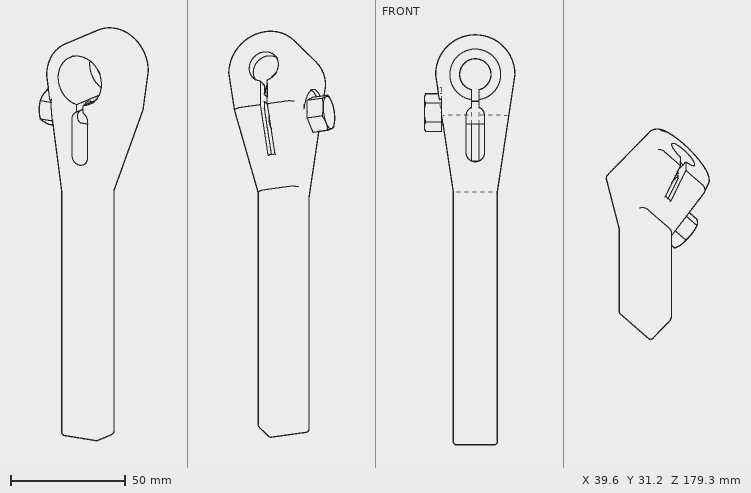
import cadquery as cq
import math

total_length = 179.3
total_depth = 31.2
head_radius = 17.4
handle_half_width = 9.7
handle_depth = 15.2
handle_top = -51.3
handle_bottom = head_radius - total_length
back_slope_top = -17.7
back_fillet = 3.2
front_fillet = 0.7
corner_radius = 1.6

bore_radius = 11.1
small_bore_radius = 6.8
back_wall = 5.0
slit_half_width = 1.6
slot_width = 8.0
slot_top = -14.0
slot_bottom = -38.2

bolt_y = 9.3
bolt_z = -16.7
bolt_radius = 5.0
bolt_tip_x = 10.8
hex_across_flats = 14.3
hex_face_x = -22.2
hex_chamfer_depth = 0.5
spotface_radius = 11.0
spotface_x = -14.7


def front_plane():
    """Sketch plane of the front face, facing -Y, so a negative extrusion runs towards +Y."""
    return cq.Workplane("XZ")


def bolt_axis_plane(x):
    """Sketch plane on the bolt axis, extruding towards +X."""
    return cq.Workplane("YZ", origin=(x, bolt_y, bolt_z))


def slope_profile(back_y, bottom_y):
    """Block whose back is upright, then slopes forward, then is upright again along the handle."""
    return (
        cq.Workplane("YZ")
        .moveTo(0, head_radius)
        .lineTo(back_y, head_radius)
        .lineTo(back_y, back_slope_top)
        .lineTo(bottom_y, handle_top)
        .lineTo(bottom_y, handle_bottom)
        .lineTo(0, handle_bottom)
        .close()
        .extrude(head_radius, both=True)
    )


def make_body():
    outline = (
        front_plane()
        .moveTo(-head_radius, 0)
        .threePointArc((0, head_radius), (head_radius, 0))
        .lineTo(handle_half_width, handle_top)
        .lineTo(handle_half_width, handle_bottom)
        .lineTo(-handle_half_width, handle_bottom)
        .lineTo(-handle_half_width, handle_top)
        .close()
    )
    body = outline.extrude(-total_depth).intersect(slope_profile(total_depth, handle_depth))

    margin = 0.2

    handle_zone = cq.selectors.BoxSelector(
        (-head_radius, handle_depth - margin, handle_bottom - margin),
        (head_radius, handle_depth + margin, handle_top - margin),
    )
    head_zone = cq.selectors.BoxSelector(
        (-head_radius, handle_depth + margin, handle_top),
        (head_radius, total_depth + margin, head_radius),
    )
    body = body.edges(handle_zone).fillet(back_fillet)
    body = body.edges("not(|X or |Y)").edges(head_zone).fillet(back_fillet)

    corner_zone = cq.selectors.BoxSelector(
        (-head_radius, 0, handle_bottom - margin),
        (head_radius, total_depth, handle_bottom + margin),
    )
    body = body.edges("|Y").edges(corner_zone).fillet(corner_radius)
    return body.faces("<Y").edges().fillet(front_fillet)


def make_bore():
    bore = front_plane().circle(bore_radius).extrude(back_wall - total_depth)
    small_bore = front_plane().circle(small_bore_radius).extrude(-total_depth)
    return bore.union(small_bore)


def make_slit():
    slot_radius = slot_width / 2
    slot_end_centre = slot_bottom + slot_radius
    slit_bottom = slot_end_centre - math.sqrt(slot_radius**2 - slit_half_width**2)
    return (
        front_plane()
        .moveTo(-slit_half_width, 0)
        .lineTo(slit_half_width, 0)
        .lineTo(slit_half_width, slit_bottom)
        .lineTo(-slit_half_width, slit_bottom)
        .close()
        .extrude(-total_depth)
    )


def make_slot():
    slot = (
        front_plane()
        .center(0, (slot_top + slot_bottom) / 2)
        .slot2D(slot_top - slot_bottom, slot_width, 90)
        .extrude(-total_depth)
    )
    return slot.intersect(slope_profile(total_depth - back_wall, handle_depth - back_wall))


def make_spotface():
    return bolt_axis_plane(spotface_x).circle(spotface_radius).extrude(-head_radius)


def make_bolt():
    head_length = spotface_x - hex_face_x
    corner_circle_radius = hex_across_flats / math.sqrt(3)
    head = (
        bolt_axis_plane(hex_face_x)
        .transformed(rotate=(0, 0, 90))
        .polygon(6, 2 * corner_circle_radius)
        .extrude(head_length)
    )
    rounding = (
        bolt_axis_plane(hex_face_x)
        .circle(corner_circle_radius)
        .extrude(head_length)
        .faces("<X")
        .chamfer(hex_chamfer_depth, corner_circle_radius - hex_across_flats / 2)
    )
    shank = bolt_axis_plane(spotface_x).circle(bolt_radius).extrude(bolt_tip_x - spotface_x)
    return head.intersect(rounding).union(shank)


result = (
    make_body()
    .cut(make_bore())
    .cut(make_slit())
    .cut(make_slot())
    .cut(make_spotface())
    .union(make_bolt())
)